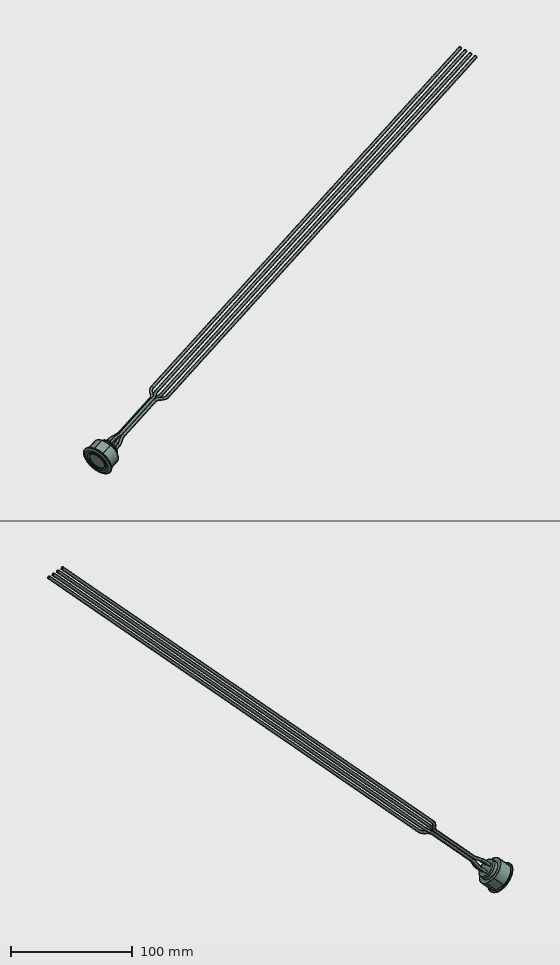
import cadquery as cq
import math

total_length = 518.0

flange_diameter = 28.0
flange_thickness = 2.0
flange_face_diameter = 23.5
flange_chamfer_depth = 1.0
body_diameter = 25.0
body_back = 13.5
flat_spacing = 23.5
collar_diameter = 17.5
collar_back = 18.0
collar_chamfer_width = 0.5
collar_chamfer_length = 1.5

dish_diameter = 19.0
dish_depth = 0.5
window_diameter = 15.5
window_depth = 1.0

wire_diameter = 2.5
bundle_radius = 1.85
socket_radius = 4.5
socket_depth = 2.5
ribbon_pitch = 5.0
gather_start = 26.0
gather_end = 33.0
gather_bend_radius = 11.0
fan_start = 80.5
fan_end = 86.0
fan_bend_radius = 5.0


def disc(diameter, y_start, y_end):
    """Cylinder along Y between two positions."""
    plane = cq.Plane(origin=(0, y_start, 0), xDir=(1, 0, 0), normal=(0, 1, 0))
    return cq.Workplane(plane).circle(diameter / 2).extrude(y_end - y_start)


def make_body():
    """Drum with a flat on its top and on its underside."""
    slab = cq.Workplane("XY").box(2 * body_diameter, 2 * body_back, flat_spacing)
    return disc(body_diameter, flange_thickness, body_back).intersect(slab)


def make_flange():
    """Disc whose front rim slopes back from the face."""
    rim_step = (flange_diameter - flange_face_diameter) / 2
    rim = disc(flange_diameter, 0, flange_thickness)
    return rim.faces("<Y").chamfer(flange_chamfer_depth, rim_step)


def make_head():
    """Flange, drum and rear collar, with the dished front face."""
    collar = disc(collar_diameter, 0, collar_back)
    collar = collar.faces(">Y").chamfer(collar_chamfer_length, collar_chamfer_width)
    head = make_flange().union(make_body()).union(collar)
    head = head.cut(disc(dish_diameter, 0, dish_depth))
    return head.cut(disc(window_diameter, 0, window_depth))


def make_step_wire(start, end, y_from, bend_from, bend_to, y_to, bend_radius):
    """Wire that shifts sideways from start to end, both (x, z), with a rounded bend at each corner."""
    shift_x = end[0] - start[0]
    shift_z = end[1] - start[1]
    shift = math.hypot(shift_x, shift_z)
    angle = math.atan2(shift, bend_to - bend_from)
    tangent = bend_radius * math.tan(angle / 2)
    along = tangent * math.cos(angle)
    across = tangent * math.sin(angle)

    side = cq.Vector(shift_x / shift, 0, shift_z / shift)
    forward = cq.Vector(0, 1, 0)
    plane = cq.Plane(origin=(start[0], 0, start[1]), xDir=forward, normal=forward.cross(side))
    path = (
        cq.Workplane(plane)
        .moveTo(y_from, 0)
        .lineTo(bend_from - tangent, 0)
        .tangentArcPoint((bend_from + along, across), relative=False)
        .lineTo(bend_to - along, shift - across)
        .tangentArcPoint((bend_to + tangent, shift), relative=False)
        .lineTo(y_to, shift)
    )
    section = cq.Plane(origin=(start[0], y_from, start[1]), xDir=(1, 0, 0), normal=(0, 1, 0))
    return cq.Workplane(section).circle(wire_diameter / 2).sweep(path)


wire_routes = [
    ((-1, 0), -1.5 * ribbon_pitch),
    ((0, 1), -0.5 * ribbon_pitch),
    ((0, -1), 0.5 * ribbon_pitch),
    ((1, 0), 1.5 * ribbon_pitch),
]
socket_end = collar_back - socket_depth
splice = (gather_end + fan_start) / 2

result = make_head()
for (dir_x, dir_z), ribbon_x in wire_routes:
    socket = (dir_x * socket_radius, dir_z * socket_radius)
    bundle = (dir_x * bundle_radius, dir_z * bundle_radius)
    gather = make_step_wire(socket, bundle, socket_end, gather_start, gather_end, splice, gather_bend_radius)
    ribbon = (ribbon_x, 0)
    fan = make_step_wire(bundle, ribbon, splice, fan_start, fan_end, total_length, fan_bend_radius)
    result = result.union(gather).union(fan)
result = result.translate((0, -total_length / 2, 0))